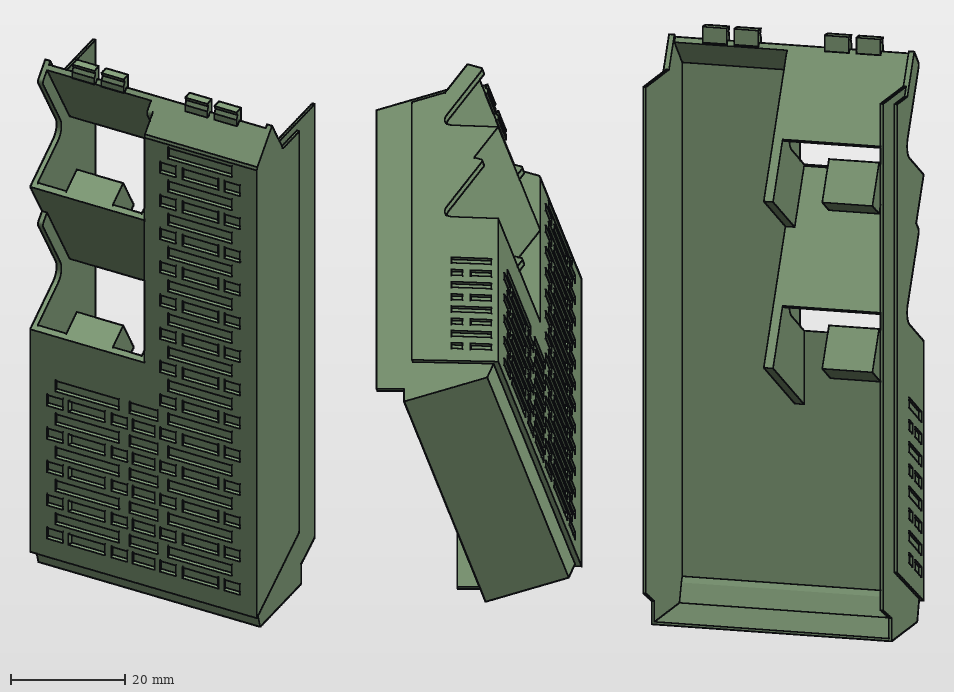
import cadquery as cq
import math

WIDTH = 45.0
TOTAL_DEPTH = 22.76
TOTAL_HEIGHT = 105.49
LAYER = 0.5
WALL = 2 * LAYER
TILT = math.radians(30)
RISE = math.tan(TILT)
MARGIN = 10.0

LINER_HALF = WIDTH / 2 - LAYER
INNER_HALF = WIDTH / 2 - WALL

COVER_DEPTH = 16.0
COVER_BOTTOM_FRONT = 3.3
COVER_BOTTOM_BACK = 12.1
COVER_SHOULDER = 96.5
LINER_SHOULDER = 98.1
SLOPE_START = 98.0
BEVEL = 0.4
PEAK_Y = 5.7
PEAK_Z = SLOPE_START + PEAK_Y
FLOOR_FRONT = 2.2
FLOOR_BACK = 17.66
LINER_STEP = 4.2
LINER_BACK_BOTTOM = 6.8
LINER_TOE = (1.03, 3.9)

BAY_PITCH = 30.0
LOWER_LEDGE = 50.2
LEDGES = (LOWER_LEDGE, LOWER_LEDGE + BAY_PITCH)
ROOF_LENGTH = BAY_PITCH * math.cos(TILT)
BAY_RIGHT = 0.2
BAY_CORNER_RADIUS = 2.85
BAY_LIP_RADIUS = 0.8
SIDE_EDGE_Y = 2.75
DIVIDER_HALF = 0.85
DIVIDER_LENGTH = 37.5
TONGUE_LEFT = -15.8
TONGUE_RIGHT = -6.6
TONGUE_REACH = 5.67
TONGUE_DROP = 8.0

HOOK_WIDTH = 4.4
HOOK_CENTRES = (-14.1, -8.3, 8.3, 14.1)
HOOK_FRONT = 4.1
HOOK_BACK = 5.83
HOOK_NOTCH = 0.4
HOOK_NOTCH_Z = 104.7
HOOK_NOTCH_BOTTOM = 103.9
HOOK_FOOT = 102.6

SLOT_PITCH = 3.5
SLOT_HEIGHT = 2.25
FIRST_SLOT_Z = 7.15
LEFT_ROWS = 10
RIGHT_ROWS = 26
LONG_SLOT = (4.85, 17.5)
NEAR_SLOT = (3.25, 6.4)
MIDDLE_SLOT = (7.7, 14.95)
FAR_SLOT = (16.0, 19.15)
CENTRE_LONG_HALF = 2.8
CENTRE_SHORT_HALF = 2.2

SIDE_PITCH = 8.0
SIDE_PAIRS = 4
SIDE_SLOT_HEIGHT = 1.85
SIDE_SLOT_FRONT = 1.3
SIDE_SLOT_BACK = 8.75
SIDE_SHORT_FRONT = 6.65
SIDE_MEDIUM_BACK = 5.2
SIDE_FIRST_TOP = 14.0


def extrude_x(points, x_min, x_max):
    """Extrude a closed (y, z) outline between two x positions."""
    return cq.Workplane("YZ").workplane(offset=x_min).polyline(points).close().extrude(x_max - x_min)


def tilted_box(top_z, back, drop, x_min, x_max):
    """Box leaning by TILT from the point (0, top_z); back and drop are (start, end) along its axes."""
    def corner(u, v):
        y = u * math.cos(TILT) + v * math.sin(TILT)
        z = top_z + u * math.sin(TILT) - v * math.cos(TILT)
        return y, z

    corners = [corner(back[0], drop[0]), corner(back[1], drop[0]),
               corner(back[1], drop[1]), corner(back[0], drop[1])]
    return extrude_x(corners, x_min, x_max)


def back_edge_y(z):
    """Y of the leaning edge that falls backwards from the peak."""
    return PEAK_Y + (PEAK_Z - z) * RISE


def slope_edge():
    """Front edge of the side profile, from the top of the front face up to the peak."""
    return [
        (0, SLOPE_START - BEVEL),
        (BEVEL / 2, SLOPE_START + BEVEL / 2),
        (PEAK_Y, PEAK_Z),
    ]


def cover_outline():
    return [
        (0, COVER_BOTTOM_FRONT),
        *slope_edge(),
        (back_edge_y(COVER_SHOULDER), COVER_SHOULDER),
        (COVER_DEPTH, COVER_SHOULDER),
        (COVER_DEPTH, COVER_BOTTOM_BACK),
    ]


def liner_outline():
    return [
        (FLOOR_FRONT, 0),
        LINER_TOE,
        (WALL, SLOPE_START),
        (PEAK_Y, PEAK_Z),
        (back_edge_y(LINER_SHOULDER), LINER_SHOULDER),
        (TOTAL_DEPTH, LINER_SHOULDER),
        (TOTAL_DEPTH, LINER_BACK_BOTTOM),
        (FLOOR_BACK, LINER_STEP),
        (FLOOR_BACK, 0),
    ]


def cavity_outline():
    """Space behind the front wall and above the floor, open to the back."""
    slope_drop = WALL * math.sqrt(2)
    roof_back_start = (LEDGES[-1] + BAY_PITCH) * RISE + WALL / math.cos(TILT)
    lip_z = (roof_back_start + SLOPE_START - slope_drop) / (1 + RISE)
    open_back = TOTAL_DEPTH + MARGIN
    return [
        (FLOOR_FRONT + LAYER, LAYER),
        (LINER_TOE[0] + LAYER, LINER_TOE[1]),
        (WALL, LINER_TOE[1] + WALL),
        (WALL, SLOPE_START - slope_drop + WALL),
        (roof_back_start - lip_z * RISE, lip_z),
        (roof_back_start - PEAK_Z * RISE, PEAK_Z),
        (open_back, PEAK_Z),
        (open_back, LAYER),
    ]


def make_shell():
    shell = extrude_x(cover_outline(), -WIDTH / 2, WIDTH / 2)
    shell = shell.union(extrude_x(liner_outline(), -LINER_HALF, LINER_HALF))
    return shell.cut(extrude_x(cavity_outline(), -INNER_HALF, INNER_HALF))


def bay_opening(ledge_z):
    """Stepped notch that opens one bay through the front and the left side."""
    roof_z = ledge_z + BAY_PITCH
    slope_z = SLOPE_START - LEDGES[-1] + ledge_z
    step_y = (roof_z - slope_z) * RISE / (1 + RISE)
    lip = (SIDE_EDGE_Y, slope_z + SIDE_EDGE_Y)
    corner_y = (lip[0] + (lip[1] - ledge_z) * RISE) / (1 + RISE ** 2)
    corner = (corner_y, ledge_z + corner_y * RISE)
    points = [
        (-MARGIN, ledge_z),
        (0, ledge_z),
        corner,
        lip,
        (step_y, slope_z + step_y),
        (0, roof_z),
        (-MARGIN, roof_z),
    ]
    opening = extrude_x(points, -WIDTH / 2 - MARGIN, BAY_RIGHT)
    middle_x = (BAY_RIGHT - WIDTH / 2 - MARGIN) / 2
    opening = opening.edges(cq.NearestToPointSelector((middle_x, *corner))).fillet(BAY_CORNER_RADIUS)
    return opening.edges(cq.NearestToPointSelector((middle_x, *lip))).fillet(BAY_LIP_RADIUS)


def bay_interior(ledge_z):
    """Free space between the ledge and the roof, inside the bay's side walls."""
    roof_end = (ROOF_LENGTH * math.sin(TILT), ledge_z + BAY_PITCH - ROOF_LENGTH * math.cos(TILT))
    points = [(0, ledge_z), roof_end, (0, ledge_z + BAY_PITCH)]
    return extrude_x(points, -INNER_HALF, -DIVIDER_HALF)


def add_bays(body):
    """Add the divider, open both bays, then add their roofs and tongues."""
    outline = [(0, 0), *slope_edge(), (TOTAL_DEPTH, PEAK_Z), (TOTAL_DEPTH, 0)]
    envelope = extrude_x(outline, -WIDTH / 2, WIDTH / 2)
    divider_reach = -DIVIDER_LENGTH * math.tan(TILT)
    for ledge_z in LEDGES:
        divider = tilted_box(ledge_z + BAY_PITCH, (divider_reach, WALL), (0, DIVIDER_LENGTH),
                             -DIVIDER_HALF, DIVIDER_HALF)
        body = body.union(divider.intersect(envelope))
    for ledge_z in LEDGES:
        body = body.cut(bay_opening(ledge_z)).cut(bay_interior(ledge_z))
    for ledge_z in LEDGES:
        roof = tilted_box(ledge_z + BAY_PITCH, (0, WALL), (0, ROOF_LENGTH), -INNER_HALF, -DIVIDER_HALF)
        tongue = tilted_box(ledge_z, (0, TONGUE_REACH), (0, TONGUE_DROP), TONGUE_LEFT, TONGUE_RIGHT)
        body = body.union(roof.intersect(envelope)).union(tongue)
    return body


def add_hooks(body):
    points = [
        (HOOK_FRONT, HOOK_FOOT),
        (HOOK_FRONT, HOOK_NOTCH_BOTTOM),
        (HOOK_FRONT + HOOK_NOTCH, HOOK_NOTCH_Z),
        (HOOK_FRONT, TOTAL_HEIGHT),
        (HOOK_BACK, TOTAL_HEIGHT),
        (HOOK_BACK, HOOK_FOOT),
    ]
    for x in HOOK_CENTRES:
        body = body.union(extrude_x(points, x - HOOK_WIDTH / 2, x + HOOK_WIDTH / 2))
    return body


def front_slot(x_range, bottom_z):
    """Slot as deep as the cover layer, climbing towards the back."""
    climb = LAYER * RISE
    points = [(0, bottom_z), (LAYER, bottom_z + climb),
              (LAYER, bottom_z + climb + SLOT_HEIGHT), (0, bottom_z + SLOT_HEIGHT)]
    return extrude_x(points, min(x_range), max(x_range))


def middle_slot(side, bottom_z):
    """Middle slot of a short row; its outer end slants inwards at 45 degrees."""
    inner = side * MIDDLE_SLOT[0]
    outer = side * MIDDLE_SLOT[1]
    plan = [(inner, 0), (outer, 0), (outer - side * LAYER, LAYER), (inner, LAYER)]
    column = cq.Workplane("XY").polyline(plan).close().extrude(TOTAL_HEIGHT)
    return front_slot((inner, outer), bottom_z).intersect(column)


def slot_row(row, side):
    z = FIRST_SLOT_Z + row * SLOT_PITCH
    if row % 2:
        return [front_slot([side * x for x in LONG_SLOT], z)]
    ends = [front_slot([side * x for x in span], z) for span in (NEAR_SLOT, FAR_SLOT)]
    return ends + [middle_slot(side, z)]


def cut_front_slots(body):
    slots = []
    for row in range(RIGHT_ROWS):
        slots += slot_row(row, 1)
    for row in range(LEFT_ROWS):
        slots += slot_row(row, -1)
        half = CENTRE_LONG_HALF if row % 2 else CENTRE_SHORT_HALF
        slots.append(front_slot((-half, half), FIRST_SLOT_Z + row * SLOT_PITCH))
    return body.cut(cq.Workplane(cq.Compound.makeCompound([slot.val() for slot in slots])))


def side_slot(y_front, y_back, row_top):
    """Slot through the side cover layer, climbing towards the back; row_top is at SIDE_SLOT_BACK."""
    def top(y):
        return row_top - (SIDE_SLOT_BACK - y) * RISE

    points = [(y_front, top(y_front)), (y_back, top(y_back)),
              (y_back, top(y_back) - SIDE_SLOT_HEIGHT), (y_front, top(y_front) - SIDE_SLOT_HEIGHT)]
    return extrude_x(points, -WIDTH / 2, -LINER_HALF)


def cut_side_slots(body):
    for pair in range(SIDE_PAIRS):
        short_top = SIDE_FIRST_TOP + pair * SIDE_PITCH
        long_top = short_top + SIDE_PITCH / 2
        body = body.cut(side_slot(SIDE_SHORT_FRONT, SIDE_SLOT_BACK, short_top))
        body = body.cut(side_slot(SIDE_SLOT_FRONT, SIDE_MEDIUM_BACK, short_top))
        body = body.cut(side_slot(SIDE_SLOT_FRONT, SIDE_SLOT_BACK, long_top))
    return body


shell = add_hooks(add_bays(make_shell()))
result = cut_side_slots(cut_front_slots(shell))